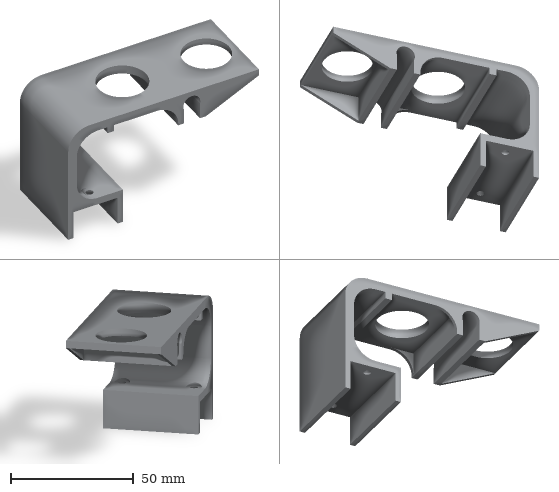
import cadquery as cq

width = 40.0
length = 89.15
height = 54.1

plate = 4.0
bend_radius = 10.0
inner_radius = 10.0

channel_length = 25.5
channel_wall = 2.4
channel_depth = 13.0
shelf_top = 16.2

tip_thickness = 3.0
nose_depth = 14.8
nose_bottom = height - nose_depth
wedge_foot = 64.4
slot_center = 57.8
slot_round_diameter = 7.9
slot_round_z = height - 6.3
slot_far = 61.6
slot_near = 54.1
leg_near = 51.4

cheek = 1.5

rib_near = 18.45
rib_thickness = 2.9
rib_drop = 3.0

tip_hole_diameter = 21.0
tip_hole_y = 75.8
middle_hole_diameter = 22.0
middle_hole_y = 36.55
screw_diameter = 3.2
screw_y = 12.75
screw_edge = 5.0
screw_seat_diameter = 6.4


def box(y_start, y_end, z_start, z_end, side_margin=0):
    """Block between two Y and two Z positions, set in from both sides by the margin."""
    return cq.Workplane("XY").box(
        width - 2 * side_margin, y_end - y_start, z_end - z_start, centered=False
    ).translate((side_margin, y_start, z_start))


def drill(x, y, diameter, z_start, z_end):
    """Vertical cylinder used as a cutter."""
    return cq.Workplane("XY", origin=(x, y, z_start)).circle(diameter / 2).extrude(z_end - z_start)


def make_body():
    """Side outline of the bracket swept across its width."""
    outline = (
        cq.Workplane("YZ")
        .lineTo(0, height)
        .lineTo(length, height)
        .lineTo(length, height - tip_thickness)
        .lineTo(wedge_foot, nose_bottom)
        .lineTo(leg_near, nose_bottom)
        .lineTo(leg_near, height - plate)
        .lineTo(plate, height - plate)
        .lineTo(plate, shelf_top)
        .lineTo(channel_length, shelf_top)
        .lineTo(channel_length, 0)
        .close()
    )
    body = outline.extrude(width)
    inner_corners = (
        (leg_near, height - plate),
        (plate, height - plate),
        (plate, shelf_top),
    )
    for y, z in inner_corners:
        edge = cq.selectors.NearestToPointSelector((width / 2, y, z))
        body = body.edges("|X").edges(edge).fillet(inner_radius)
    outer_corner = cq.selectors.NearestToPointSelector((width / 2, 0, height))
    return body.edges("|X").edges(outer_corner).fillet(bend_radius)


def make_slot():
    """Clip slot: a straight mouth that opens into a slightly wider round."""
    round_end = (
        cq.Workplane("YZ")
        .center(slot_center, slot_round_z)
        .circle(slot_round_diameter / 2)
        .extrude(width)
    )
    return round_end.union(box(slot_near, slot_far, nose_bottom, slot_round_z))


body = make_body()
body = body.cut(box(channel_wall, channel_length - channel_wall, 0, channel_depth))
body = body.cut(make_slot())

body = body.cut(box(wedge_foot, length, nose_bottom, height - tip_thickness, cheek))
body = body.cut(box(leg_near - inner_radius, leg_near, nose_bottom, height - plate, cheek))

rib_top = height - plate
body = body.union(box(rib_near, rib_near + rib_thickness, rib_top - rib_drop, rib_top))

body = body.cut(drill(width / 2, tip_hole_y, tip_hole_diameter, nose_bottom, height))
body = body.cut(drill(width / 2, middle_hole_y, middle_hole_diameter, nose_bottom, height))

screw_positions = (screw_edge, width - screw_edge)
for screw_x in screw_positions:
    body = body.cut(drill(screw_x, screw_y, screw_seat_diameter, shelf_top, shelf_top + inner_radius))

for screw_x in screw_positions:
    body = body.cut(drill(screw_x, screw_y, screw_diameter, 0, shelf_top + inner_radius))

result = body